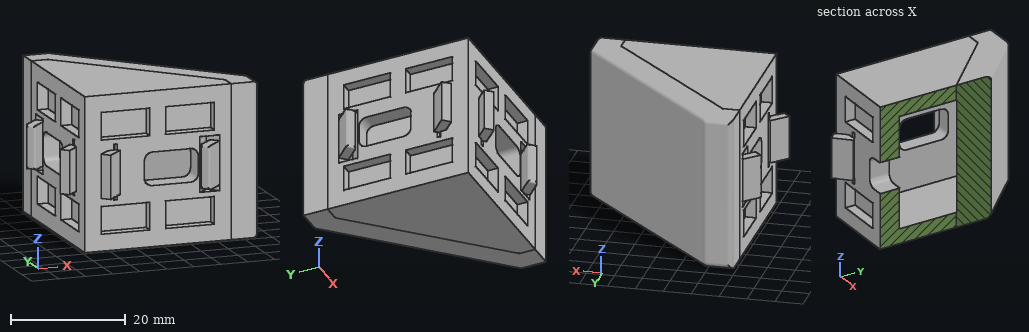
import cadquery as cq

height = 28.0
mid_height = height / 2
mirror_normal = cq.Vector(1, -1, 0)

bracket_leg = 27.1
leg_end_width = 3.05
y_leg_wall = leg_end_width
x_leg_wall = 4.0
side_wall = 3.0

cover_leg = 32.2
cover_end_width = 5.1
cover_round = 1.0

recess_length = 9.0
recess_height = 4.95
recess_depth = 2.0
recess_margin = 3.08
recess_pitch = 11.95

slot_length = 10.0
slot_height = 6.02
slot_corner = 1.5
slot_center = 16.05

lug_height = 7.93
lug_width = 2.55
lug_length = 5.6
lug_tip_round = 0.4
inner_lug_start = 4.3
inner_lug_root = 6.0
outer_lug_start = 22.4
outer_lug_root = outer_lug_start + lug_width

notch_height = 10.0
inner_notch_start = 5.35
outer_notch_start = 21.3


def slanted_point(along, across):
    """Point where the line x + y = along meets the line x - y = across."""
    return ((along + across) / 2, (along - across) / 2)


def prism(points, bottom, top):
    """Upright prism over a plan outline."""
    return cq.Workplane("XY").workplane(offset=bottom).polyline(points).close().extrude(top - bottom)


def centered_prism(points, prism_height):
    """Upright prism placed symmetrically about the middle of the height."""
    return prism(points, mid_height - prism_height / 2, mid_height + prism_height / 2)


def corner_outline(leg, end_width):
    """Right triangle in plan with both of its sharp tips cut square."""
    return [(0, 0), (leg, 0), (leg, end_width), (end_width, leg), (0, leg)]


def make_recesses():
    """Four shallow rectangular recesses in the -Y face."""
    recesses = cq.Workplane("XY")
    for x in (recess_margin, recess_margin + recess_pitch):
        for z in (recess_margin, height - recess_margin - recess_height):
            recess = cq.Workplane("XY").box(recess_length, recess_depth, recess_height, centered=False)
            recesses = recesses.add(recess.translate((x, 0, z)))
    return recesses.combine()


def make_slot():
    """Round-cornered bolt slot through the wall behind the -Y face."""
    slot = cq.Workplane("XY").box(slot_length, x_leg_wall, slot_height).edges("|Y").fillet(slot_corner)
    return slot.translate((slot_center, x_leg_wall / 2, mid_height))


def make_notch(start, root):
    """Triangular relief notch in the -Y face with its floor at the lug root."""
    outline = [(start, 0), (root, 0), slanted_point(root, start)]
    return centered_prism(outline, notch_height)


def make_lug(start, root):
    """Slanted lug that leaves the -Y face, from its root to its tip."""
    end = start + lug_width
    tip = root - lug_length
    outline = [
        slanted_point(root, start),
        slanted_point(tip, start),
        slanted_point(tip, end),
        slanted_point(root, end),
    ]
    return centered_prism(outline, lug_height)


def make_bracket():
    """Hollow corner bracket, open towards the cover."""
    slope_sum = bracket_leg + leg_end_width
    cavity_outline = [
        (y_leg_wall, x_leg_wall),
        (slope_sum - x_leg_wall, x_leg_wall),
        (y_leg_wall, slope_sum - y_leg_wall),
    ]
    body = prism(corner_outline(bracket_leg, leg_end_width), 0, height)
    body = body.cut(prism(cavity_outline, side_wall, height - side_wall))

    cuts = [
        make_recesses(),
        make_slot(),
        make_notch(inner_notch_start, inner_lug_root),
        make_notch(outer_notch_start, outer_lug_root),
    ]
    inner_lug = make_lug(inner_lug_start, inner_lug_root)
    outer_lug = make_lug(outer_lug_start, outer_lug_root).faces("<(1, 1, 0)").edges().fillet(lug_tip_round)

    for cut in cuts:
        body = body.cut(cut).cut(cut.mirror(mirror_normal))
    for lug in (inner_lug, outer_lug):
        body = body.union(lug).union(lug.mirror(mirror_normal))
    return body


def make_cover():
    """Solid cover over the leg ends and the sloped side, rounded on its outer faces."""
    block = prism(corner_outline(cover_leg, cover_end_width), 0, height)
    block = block.faces(">X or >Y or >(1, 1, 0)").edges().fillet(cover_round)
    return block.cut(prism(corner_outline(bracket_leg, leg_end_width), 0, height))


bracket = make_bracket()
cover = make_cover()

result = cq.Compound.makeCompound([bracket.solids().val(), cover.solids().val()])